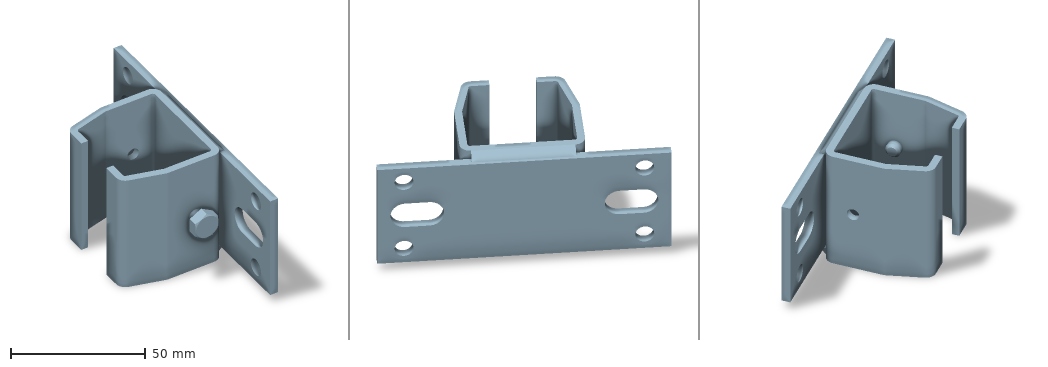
import cadquery as cq
import math


CHANNEL_WIDTH = 47.0
CHANNEL_DEPTH = 42.0
CHANNEL_HEIGHT = 50.0
SHEET = 3.0
BEND_RADIUS = 4.0
STRAIGHT_DEPTH = 24.4
LEAN_ANGLE = 15.0
MOUTH_WIDTH = 17.6
CHANNEL_HOLE_DIAMETER = 5.0

PLATE_LENGTH = 110.0
PLATE_HEIGHT = 44.0
PLATE_THICKNESS = 3.5
PLATE_GAP = 1.0
PLATE_HOLE_DIAMETER = 7.0
PLATE_HOLE_X = 45.0
PLATE_HOLE_Z = 15.5
SLOT_LENGTH = 20.0
SLOT_HEIGHT = 11.0
SLOT_X = 40.0

WELD_LEG = (CHANNEL_HEIGHT - PLATE_HEIGHT) / 2
WELD_LENGTH = CHANNEL_WIDTH - 2 * BEND_RADIUS

BOLT_Y = -12.0
BOLT_DIAMETER = 6.0
BOLT_TIP_X = 17.3
BOLT_SHANK_LENGTH = 10.0
BOLT_TIP_CHAMFER = 1.0
HEAD_HEIGHT = 4.3
HEAD_ACROSS_FLATS = 10.0
HEAD_ACROSS_CORNERS = HEAD_ACROSS_FLATS / math.cos(math.radians(30))
HEAD_CROWN_DIAMETER = 9.7
HEAD_CHAMFER_ANGLE = 30.0


def make_channel():
    half_width = CHANNEL_WIDTH / 2
    lean_depth = CHANNEL_DEPTH - STRAIGHT_DEPTH
    front_half_width = half_width - lean_depth * math.tan(math.radians(LEAN_ANGLE))
    corners = [
        (-half_width, 0),
        (half_width, 0),
        (half_width, -STRAIGHT_DEPTH),
        (front_half_width, -CHANNEL_DEPTH),
        (-front_half_width, -CHANNEL_DEPTH),
        (-half_width, -STRAIGHT_DEPTH),
    ]
    outer = (
        cq.Workplane("XY")
        .polyline(corners)
        .close()
        .extrude(CHANNEL_HEIGHT / 2, both=True)
        .edges("|Z")
        .fillet(BEND_RADIUS)
    )
    cavity = (
        outer.faces(">Z")
        .wires()
        .toPending()
        .offset2D(-SHEET)
        .extrude(-CHANNEL_HEIGHT, combine=False)
    )
    mouth = cq.Workplane("XY").box(
        MOUTH_WIDTH, lean_depth, CHANNEL_HEIGHT
    ).translate((0, -CHANNEL_DEPTH, 0))

    back_hole = (
        cq.Workplane("XZ")
        .circle(CHANNEL_HOLE_DIAMETER / 2)
        .extrude(SHEET)
    )
    side_hole = (
        cq.Workplane("YZ", origin=(-half_width, BOLT_Y, 0))
        .circle(CHANNEL_HOLE_DIAMETER / 2)
        .extrude(SHEET)
    )
    return outer.cut(cavity).cut(mouth).cut(back_hole).cut(side_hole)


def make_plate():
    blank = (
        cq.Workplane("XZ", origin=(0, PLATE_GAP + PLATE_THICKNESS, 0))
        .rect(PLATE_LENGTH, PLATE_HEIGHT)
        .extrude(PLATE_THICKNESS)
    )
    return (
        blank.faces("<Y")
        .workplane(origin=(0, PLATE_GAP, 0))
        .rect(2 * PLATE_HOLE_X, 2 * PLATE_HOLE_Z, forConstruction=True)
        .vertices()
        .hole(PLATE_HOLE_DIAMETER)
        .faces("<Y")
        .workplane(origin=(0, PLATE_GAP, 0))
        .pushPoints([(-SLOT_X, 0), (SLOT_X, 0)])
        .slot2D(SLOT_LENGTH, SLOT_HEIGHT)
        .cutThruAll()
    )


def make_weld():
    """Triangular bead filling the corner between the plate top and the channel back."""
    edge_z = PLATE_HEIGHT / 2
    return (
        cq.Workplane("YZ")
        .polyline([(0, edge_z), (WELD_LEG, edge_z), (0, edge_z + WELD_LEG)])
        .close()
        .extrude(WELD_LENGTH / 2, both=True)
    )


def make_bolt():
    shank = (
        cq.Workplane("YZ", origin=(BOLT_TIP_X, BOLT_Y, 0))
        .circle(BOLT_DIAMETER / 2)
        .extrude(BOLT_SHANK_LENGTH)
        .faces("<X")
        .chamfer(BOLT_TIP_CHAMFER)
    )

    head_x = BOLT_TIP_X + BOLT_SHANK_LENGTH
    corner_radius = HEAD_ACROSS_CORNERS / 2
    crown_radius = HEAD_CROWN_DIAMETER / 2
    chamfer_drop = (corner_radius - crown_radius) * math.tan(math.radians(HEAD_CHAMFER_ANGLE))
    hexagon = (
        cq.Workplane("YZ", origin=(head_x, BOLT_Y, 0))
        .transformed(rotate=(0, 0, 90))
        .polygon(6, HEAD_ACROSS_CORNERS)
        .extrude(HEAD_HEIGHT)
    )
    envelope = (
        cq.Workplane("XY", origin=(head_x, BOLT_Y, 0))
        .lineTo(0, corner_radius)
        .lineTo(HEAD_HEIGHT - chamfer_drop, corner_radius)
        .lineTo(HEAD_HEIGHT, crown_radius)
        .lineTo(HEAD_HEIGHT, 0)
        .close()
        .revolve(360, (0, 0, 0), (1, 0, 0))
    )
    return shank.union(hexagon.intersect(envelope))


top_weld = make_weld()
bottom_weld = top_weld.mirror("XY")
result = make_channel().union(make_plate()).union(top_weld).union(bottom_weld).union(make_bolt())